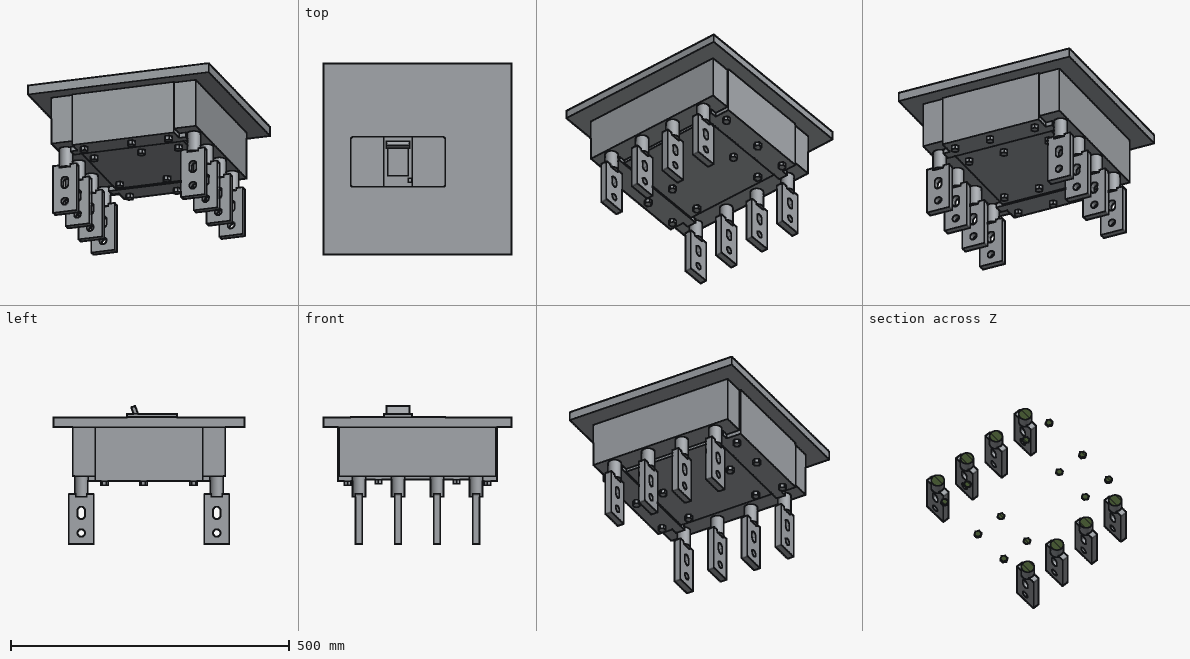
import cadquery as cq
import math


cover_width = 338
cover_length = 343
cover_thickness = 17.5

escutcheon_x = -35
escutcheon_y = -5.3
escutcheon_width = 170
escutcheon_length = 90
escutcheon_height = 1
escutcheon_corner_radius = 5
strip_width = 50.5
strip_height = 6
window_width = 36.5
window_length = 49.5
window_depth = 0.3
button_width = 6.5
button_length = 7.5
button_height = 0.3
button_edge_gap = 0.7
button_front_gap = 8.5

lever_width = 42
lever_thickness = 7.8
lever_lean = math.radians(20)
overall_height = 248.18

block_width = 280
block_length = 274
block_depth = 88.2
wall_outer_x = 143
wall_length = 193
wall_depth = 97
pad_depth = 94.2
rail_width = 18
rail_length = 218.6

bolt_flats = 12
bolt_height = 7.7
wall_bolt_x = 125.5
pad_bolt_x = 70
bolt_rows = [-80, 10, 80]

terminal_pitch = 70
terminals_per_row = 4
terminal_y = 121.5
stud_diameter = 24
stud_bottom = -125
bar_thickness = 12.5
bar_width = 45
bar_top = -120
bar_bottom = -210
bar_edge_radius = 1
hole_diameter = 13
hole_z = bar_bottom + 20
slot_length = 22
slot_z = hole_z + 36

strip_top = cover_thickness + strip_height
window_back_y = escutcheon_y + window_length / 2
lever_top = overall_height + bar_bottom
terminal_xs = [(i - (terminals_per_row - 1) / 2) * terminal_pitch for i in range(terminals_per_row)]
wall_inner_x = terminal_xs[-1]


def block(width, length, bottom, top, x=0, y=0):
    """Upright box centred on (x, y) between two heights."""
    box = cq.Workplane("XY").box(width, length, top - bottom, centered=(True, True, False))
    return box.translate((x, y, bottom))


def make_lever():
    """Leaning flat lever whose front face starts at the back edge of the window."""
    rise = lever_top - cover_thickness
    front_base_y = window_back_y - strip_height * math.tan(lever_lean)
    front_top_y = front_base_y + rise * math.tan(lever_lean)
    back_top_y = front_top_y + lever_thickness * math.cos(lever_lean)
    back_rise = rise - lever_thickness * math.sin(lever_lean)
    back_base_y = front_base_y + lever_thickness / math.cos(lever_lean)
    profile = [
        (front_base_y, 0),
        (front_top_y, rise),
        (back_top_y, back_rise),
        (back_base_y, 0),
    ]
    lever = cq.Workplane("YZ").polyline(profile).close().extrude(lever_width / 2, both=True)
    return lever.translate((escutcheon_x, 0, cover_thickness))


def make_cover():
    plate = block(cover_width, cover_length, 0, cover_thickness)
    escutcheon = block(
        escutcheon_width,
        escutcheon_length,
        cover_thickness,
        cover_thickness + escutcheon_height,
        escutcheon_x,
        escutcheon_y,
    )
    escutcheon = escutcheon.edges("|Z").fillet(escutcheon_corner_radius)
    strip = block(strip_width, escutcheon_length, cover_thickness, strip_top, escutcheon_x, escutcheon_y)
    window = block(
        window_width, window_length, strip_top - window_depth, strip_top, escutcheon_x, escutcheon_y
    )
    button = block(
        button_width,
        button_length,
        strip_top,
        strip_top + button_height,
        escutcheon_x + (strip_width - button_width) / 2 - button_edge_gap,
        escutcheon_y - (escutcheon_length - button_length) / 2 + button_front_gap,
    )
    return plate.union(escutcheon).union(strip).cut(window).union(button).union(make_lever())


def make_bolt_head(x, y, seat_z):
    """Hexagonal head with two corners pointing along Y."""
    corner_diameter = bolt_flats / math.cos(math.pi / 6)
    hexagon = cq.Workplane("XY").polygon(6, corner_diameter).extrude(-bolt_height)
    return hexagon.rotate((0, 0, 0), (0, 0, 1), 90).translate((x, y, seat_z))


def make_terminal(x, y):
    stud = cq.Workplane("XY").circle(stud_diameter / 2).extrude(stud_bottom + block_depth)
    stud = stud.translate((0, 0, -block_depth))
    bar = block(bar_thickness, bar_width, bar_bottom, bar_top).edges("|X").fillet(bar_edge_radius)
    hole = cq.Workplane("YZ").center(0, hole_z).circle(hole_diameter / 2)
    hole = hole.extrude(bar_thickness, both=True)
    slot = cq.Workplane("YZ").center(0, slot_z).slot2D(slot_length, hole_diameter, 90)
    slot = slot.extrude(bar_thickness, both=True)
    return stud.union(bar.cut(hole).cut(slot)).translate((x, y, 0))


def make_housing():
    housing = block(block_width, block_length, -block_depth, 0)
    housing = housing.union(block(2 * wall_inner_x, wall_length, -pad_depth, 0))
    wall_width = wall_outer_x - wall_inner_x
    for side in (-1, 1):
        wall_x = side * (wall_inner_x + wall_outer_x) / 2
        housing = housing.union(block(wall_width, wall_length, -wall_depth, 0, wall_x))
        housing = housing.union(block(rail_width, rail_length, -wall_depth, 0, side * wall_inner_x))
        for row_y in bolt_rows:
            housing = housing.union(make_bolt_head(side * wall_bolt_x, row_y, -wall_depth))
            housing = housing.union(make_bolt_head(side * pad_bolt_x, row_y, -pad_depth))
        for x in terminal_xs:
            housing = housing.union(make_terminal(x, side * terminal_y))
    return housing


cover = make_cover()
housing = make_housing()
result = cq.Compound.makeCompound([cover.val(), housing.val()])